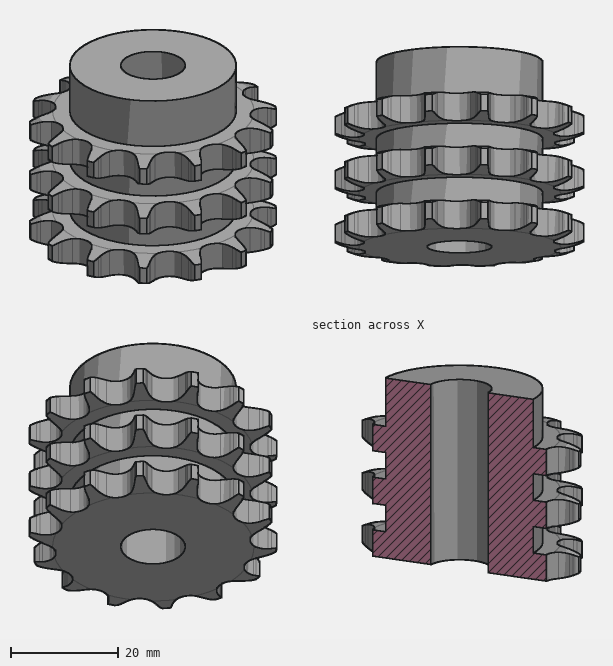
import cadquery as cq
import math

tooth_count = 14
chain_pitch = 9.55
roller_diameter = 6.35
strand_count = 3
strand_pitch = 10.25
plate_thickness = 5.2
outer_radius = 23.15
hub_diameter = 31.0
bore_diameter = 12.0
total_height = 35.0

face_round_start_radius = 18.75
face_round_radius = 10.0

seating_play = 0.1
seating_radius = (1.005 * roller_diameter + seating_play) / 2
working_radius = 1.3025 * roller_diameter + seating_play / 2
seating_angle = math.radians(35 + 60 / tooth_count)
working_sweep = math.radians(18 - 56 / tooth_count)
topping_angle = math.radians(17 - 64 / tooth_count)
topping_sweep = math.radians(24)
flat_length = roller_diameter * (1.4 * math.sin(topping_angle) - 0.8 * math.sin(working_sweep))
topping_radius = (
    roller_diameter * (0.8 * math.cos(working_sweep) + 1.4 * math.cos(topping_angle))
    - working_radius
)
pitch_radius = chain_pitch / (2 * math.sin(math.pi / tooth_count))


def offset(point, distance, angle):
    """Point at a distance from another, in the direction of the angle."""
    return (point[0] + distance * math.cos(angle), point[1] + distance * math.sin(angle))


def mirrored(point):
    """Point on the other flank of the tooth gap."""
    return (-point[0], point[1])


def make_tooth_gap():
    """Cutter for one gap, centred on +Y: seating arc, working arcs, flats and topping arcs."""
    seating_center = (0, pitch_radius)
    seating_bottom = (0, pitch_radius - seating_radius)
    seating_end = offset(seating_center, seating_radius, -seating_angle)

    working_center = offset(seating_end, working_radius, math.pi - seating_angle)
    working_middle = offset(working_center, working_radius, working_sweep / 2 - seating_angle)
    flank_angle = working_sweep - seating_angle
    working_end = offset(working_center, working_radius, flank_angle)

    flat_end = offset(working_end, flat_length, flank_angle + math.pi / 2)

    topping_center = offset(flat_end, topping_radius, flank_angle)
    topping_start_angle = flank_angle + math.pi
    topping_middle = offset(topping_center, topping_radius, topping_start_angle - topping_sweep / 2)
    topping_end = offset(topping_center, topping_radius, topping_start_angle - topping_sweep)

    return (
        cq.Workplane("XY")
        .moveTo(*mirrored(topping_end))
        .threePointArc(mirrored(topping_middle), mirrored(flat_end))
        .lineTo(*mirrored(working_end))
        .threePointArc(mirrored(working_middle), mirrored(seating_end))
        .threePointArc(seating_bottom, seating_end)
        .threePointArc(working_middle, working_end)
        .lineTo(*flat_end)
        .threePointArc(topping_middle, topping_end)
        .close()
        .extrude(plate_thickness)
    )


def make_plate_blank():
    """Turned disc whose rim is rounded on both faces."""
    def face_drop(radius):
        run = radius - face_round_start_radius
        return face_round_radius - math.sqrt(face_round_radius**2 - run**2)

    middle_radius = (face_round_start_radius + outer_radius) / 2
    middle_drop = face_drop(middle_radius)
    tip_drop = face_drop(outer_radius)
    return (
        cq.Workplane("XZ")
        .moveTo(0, 0)
        .lineTo(face_round_start_radius, 0)
        .threePointArc((middle_radius, middle_drop), (outer_radius, tip_drop))
        .lineTo(outer_radius, plate_thickness - tip_drop)
        .threePointArc(
            (middle_radius, plate_thickness - middle_drop),
            (face_round_start_radius, plate_thickness),
        )
        .lineTo(0, plate_thickness)
        .close()
        .revolve(360, (0, 0, 0), (0, 1, 0))
    )


def make_toothed_plate():
    """One strand: a plate with a gap centred on +Y and a tooth centred on +X."""
    plate = make_plate_blank()
    gap = make_tooth_gap()
    for index in range(tooth_count):
        plate = plate.cut(gap.rotate((0, 0, 0), (0, 0, 1), index * 360 / tooth_count))
    return plate


sprocket = cq.Workplane("XY").circle(hub_diameter / 2).extrude(total_height)

toothed_plate = make_toothed_plate()
for strand in range(strand_count):
    sprocket = sprocket.union(toothed_plate.translate((0, 0, strand * strand_pitch)))

bore = cq.Workplane("XY").circle(bore_diameter / 2).extrude(total_height)
result = sprocket.cut(bore)